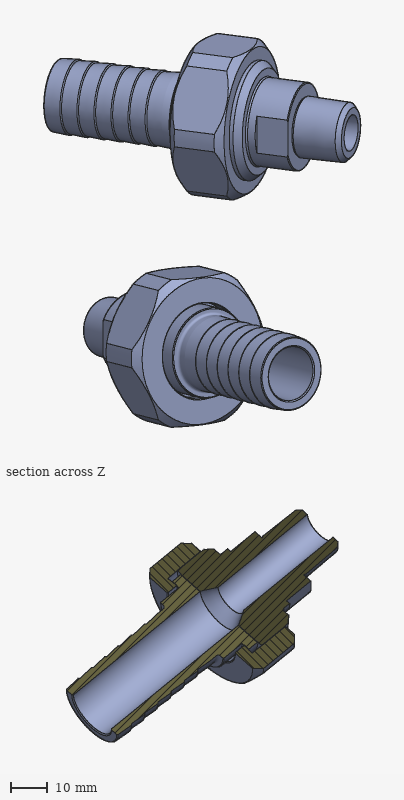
import cadquery as cq
import math

TOTAL_LENGTH = 86.5
EDGE_BREAK = 0.3

TAIL_DIA = 21.0
BARB_ROOT_DIA = 20.3
BARB_COUNT = 6
BARB_PITCH = 5.0
BARB_BACK = 0.35
TAIL_BORE_DIA = 15.0
BORE_MOUTH_CHAMFER = 0.35
TAIL_LAND_START = 35.0
COLLAR_START = 37.9
COLLAR_DIA = 25.0
COLLAR_CHAMFER = 0.3
COLLAR_FILLET = 0.8
FLANGE_DIA = 30.3
FLANGE_THICKNESS = 3.5

NUT_START = 41.4
NUT_LENGTH = 15.9
NUT_ACROSS_FLATS = 41.0
NUT_CORNER_DIA = 44.7
NUT_CHAMFER = 2.1
NUT_LIP_THICKNESS = 3.5
NUT_MOUTH_DIA = 26.5
NUT_MOUTH_CHAMFER = 0.3
THREAD_DIA = 33.1

THREAD_END = 60.5
THREAD_CHAMFER_LENGTH = 2.0
THREAD_END_DIA = 29.5
SHOULDER_DIA = 24.5
SHOULDER_ROOT_DIA = 25.0
SHOULDER_ROOT_LENGTH = 0.5
SHOULDER_END = 72.4
FLAT_START = 63.2
ACROSS_FLATS = 22.1
NIPPLE_NECK_DIA = 16.4
NIPPLE_NECK_LENGTH = 0.5
NIPPLE_BASE_DIA = 17.0
NIPPLE_TIP_DIA = 16.6
NIPPLE_CHAMFER = 1.3
ADAPTER_BORE_DIA = 10.0
BORE_CONE_LENGTH = 4.3

LIP_END = NUT_START + NUT_LIP_THICKNESS
NUT_END = NUT_START + NUT_LENGTH
FLANGE_END = LIP_END + FLANGE_THICKNESS


def revolve(profile):
    """Turn a closed XY profile (Y = radius) around the X axis."""
    return profile.close().revolve(360, (0, 0, 0), (1, 0, 0))


def turned(points):
    """Turned solid from (x, diameter) stations, closed along the axis."""
    stations = [(x, diameter / 2) for x, diameter in points]
    outline = [(points[0][0], 0)] + stations + [(points[-1][0], 0)]
    return revolve(cq.Workplane("XY").polyline(outline))


def make_hose_tail():
    profile = cq.Workplane("XY").moveTo(0, 0).lineTo(0, BARB_ROOT_DIA / 2 - EDGE_BREAK)
    profile = profile.lineTo(EDGE_BREAK, BARB_ROOT_DIA / 2)
    for barb in range(1, BARB_COUNT + 1):
        crest = barb * BARB_PITCH
        profile = profile.lineTo(crest, TAIL_DIA / 2)
        profile = profile.lineTo(crest + BARB_BACK, BARB_ROOT_DIA / 2)
    fillet_mid = COLLAR_FILLET * math.sqrt(0.5)
    tail_radius = TAIL_DIA / 2
    collar_radius = COLLAR_DIA / 2
    profile = (
        profile.lineTo(TAIL_LAND_START, tail_radius)
        .lineTo(COLLAR_START - COLLAR_FILLET, tail_radius)
        .threePointArc(
            (COLLAR_START - COLLAR_FILLET + fillet_mid, tail_radius + COLLAR_FILLET - fillet_mid),
            (COLLAR_START, tail_radius + COLLAR_FILLET),
        )
        .lineTo(COLLAR_START, collar_radius - COLLAR_CHAMFER)
        .lineTo(COLLAR_START + COLLAR_CHAMFER, collar_radius)
        .lineTo(LIP_END, collar_radius)
        .lineTo(LIP_END, FLANGE_DIA / 2)
        .lineTo(FLANGE_END, FLANGE_DIA / 2)
        .lineTo(FLANGE_END, 0)
    )
    bore = turned([
        (0, TAIL_BORE_DIA + 2 * BORE_MOUTH_CHAMFER),
        (BORE_MOUTH_CHAMFER, TAIL_BORE_DIA),
        (FLANGE_END, TAIL_BORE_DIA),
    ])
    return revolve(profile).cut(bore)


def make_union_nut():
    hexagon = (
        cq.Workplane("YZ", origin=(NUT_START, 0, 0))
        .polygon(6, NUT_ACROSS_FLATS / math.cos(math.pi / 6))
        .extrude(NUT_LENGTH)
    )
    envelope = turned([
        (NUT_START, NUT_CORNER_DIA - 2 * NUT_CHAMFER),
        (NUT_START + NUT_CHAMFER, NUT_CORNER_DIA),
        (NUT_END - NUT_CHAMFER, NUT_CORNER_DIA),
        (NUT_END, NUT_CORNER_DIA - 2 * NUT_CHAMFER),
    ])
    bore = turned([
        (NUT_START, NUT_MOUTH_DIA + 2 * NUT_MOUTH_CHAMFER),
        (NUT_START + NUT_MOUTH_CHAMFER, NUT_MOUTH_DIA),
        (LIP_END, NUT_MOUTH_DIA),
        (LIP_END, THREAD_DIA),
        (NUT_END, THREAD_DIA),
    ])
    return hexagon.intersect(envelope).cut(bore)


def make_adapter():
    neck_end = SHOULDER_END + NIPPLE_NECK_LENGTH
    body = turned([
        (FLANGE_END, THREAD_DIA),
        (THREAD_END - THREAD_CHAMFER_LENGTH, THREAD_DIA),
        (THREAD_END, THREAD_END_DIA),
        (THREAD_END, SHOULDER_ROOT_DIA),
        (THREAD_END + SHOULDER_ROOT_LENGTH, SHOULDER_DIA),
        (SHOULDER_END - EDGE_BREAK, SHOULDER_DIA),
        (SHOULDER_END, SHOULDER_DIA - 2 * EDGE_BREAK),
        (SHOULDER_END, NIPPLE_NECK_DIA),
        (neck_end, NIPPLE_BASE_DIA),
        (TOTAL_LENGTH - NIPPLE_CHAMFER, NIPPLE_TIP_DIA),
        (TOTAL_LENGTH, NIPPLE_TIP_DIA - 2 * NIPPLE_CHAMFER),
    ])
    bore = turned([
        (FLANGE_END, TAIL_BORE_DIA),
        (FLANGE_END + BORE_CONE_LENGTH, ADAPTER_BORE_DIA),
        (TOTAL_LENGTH, ADAPTER_BORE_DIA),
    ])
    flat_length = SHOULDER_END - FLAT_START
    for side in (-1, 1):
        waste = cq.Workplane("XY").box(flat_length, SHOULDER_DIA, SHOULDER_DIA).translate(
            (FLAT_START + flat_length / 2, side * (ACROSS_FLATS + SHOULDER_DIA) / 2, 0)
        )
        body = body.cut(waste)
    return body.cut(bore)


hose_tail = make_hose_tail()
union_nut = make_union_nut()
adapter = make_adapter()

result = cq.Compound.makeCompound([hose_tail.val(), union_nut.val(), adapter.val()])